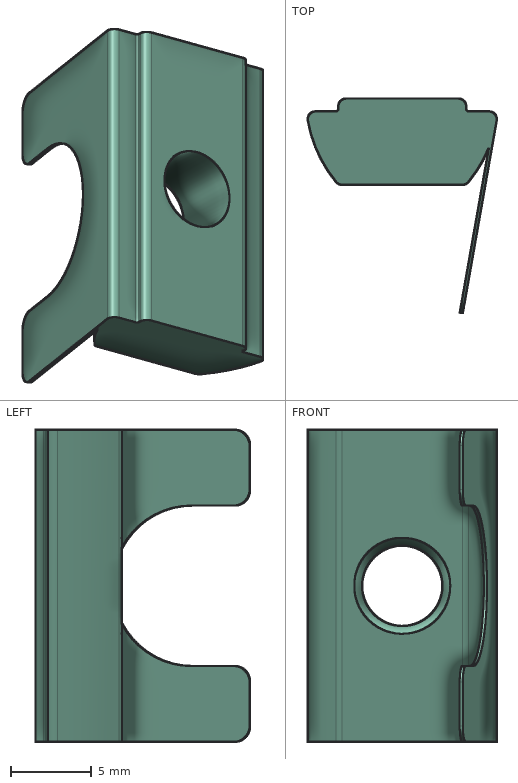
import math

import cadquery as cq

length = 19.5
body_width = 11.82
body_depth = 5.4
overall_depth = 13.41

rib_width = 8.0
rib_height = 0.8
rib_edge_radius = 0.5
rib_root_radius = 0.15

shoulder_radius = 0.5
flank_radius = 8.3
base_edge_radius = 0.5

hole_diameter = 5.0
countersink_diameter = 6.0
countersink_depth = (countersink_diameter - hole_diameter) / 2

spring_tilt = math.radians(10)
spring_thickness = 0.2
spring_corner_radius = 1.0
slot_radius = 5.0
slot_centre_from_tip = 3.7

sin_tilt = math.sin(spring_tilt)
cos_tilt = math.cos(spring_tilt)
shoulder_centre = (body_width / 2 - shoulder_radius, -rib_height - shoulder_radius)
flank_centre = (
    shoulder_centre[0] - (flank_radius - shoulder_radius) * cos_tilt,
    shoulder_centre[1] + (flank_radius - shoulder_radius) * sin_tilt,
)
base_edge_centre_y = -body_depth + base_edge_radius
flank_end_angle = math.asin((flank_centre[1] - base_edge_centre_y) / (flank_radius - base_edge_radius))
base_edge_centre = (
    flank_centre[0] + (flank_radius - base_edge_radius) * math.cos(flank_end_angle),
    base_edge_centre_y,
)


def point_on_arc(centre, radius, angle_below_x):
    """Point on a circle, with the angle measured from +X towards -Y."""
    return (
        centre[0] + radius * math.cos(angle_below_x),
        centre[1] - radius * math.sin(angle_below_x),
    )


spring_root = point_on_arc(shoulder_centre, shoulder_radius, spring_tilt)
spring_length = (overall_depth + spring_root[1]) / cos_tilt


def make_body():
    """Nut body: half a section extruded along Z and mirrored about X = 0."""
    quarter_turn = math.pi / 2
    half_rib = rib_width / 2
    half_section = (
        cq.Workplane("XY")
        .moveTo(0, 0)
        .lineTo(half_rib, 0)
        .lineTo(half_rib, -rib_height)
        .lineTo(shoulder_centre[0], -rib_height)
        .threePointArc(
            point_on_arc(shoulder_centre, shoulder_radius, (spring_tilt - quarter_turn) / 2),
            spring_root,
        )
        .threePointArc(
            point_on_arc(flank_centre, flank_radius, (spring_tilt + flank_end_angle) / 2),
            point_on_arc(flank_centre, flank_radius, flank_end_angle),
        )
        .threePointArc(
            point_on_arc(base_edge_centre, base_edge_radius, (flank_end_angle + quarter_turn) / 2),
            (base_edge_centre[0], -body_depth),
        )
        .lineTo(0, -body_depth)
        .close()
        .extrude(length / 2, both=True)
    )
    half_section = round_rib_edge(half_section, 0, rib_edge_radius)
    half_section = round_rib_edge(half_section, -rib_height, rib_root_radius)
    return half_section.union(half_section.mirror("YZ")).clean()


def round_rib_edge(body, edge_y, radius):
    """Fillet the lengthwise edge of the rib side at the given Y."""
    edge = cq.selectors.NearestToPointSelector((rib_width / 2, edge_y, 0))
    return body.edges("|Z").edges(edge).fillet(radius)


def make_hole():
    """Through hole along Y with a countersink on the base face."""
    base_plane = cq.Plane(origin=(0, -body_depth, 0), xDir=(1, 0, 0), normal=(0, 1, 0))
    bore = cq.Workplane(base_plane).circle(hole_diameter / 2).extrude(body_depth)
    countersink = (
        cq.Workplane(base_plane)
        .circle(countersink_diameter / 2)
        .workplane(offset=countersink_depth)
        .circle(hole_diameter / 2)
        .loft(ruled=True)
    )
    return bore.union(countersink)


def make_spring():
    """Tilted sheet with two rounded legs either side of a round-ended slot."""
    sheet_plane = cq.Plane(
        origin=(spring_root[0], spring_root[1], 0),
        xDir=(-sin_tilt, -cos_tilt, 0),
        normal=(cos_tilt, -sin_tilt, 0),
    )
    slot_centre = spring_length - slot_centre_from_tip
    sheet = (
        cq.Workplane(sheet_plane)
        .moveTo(0, -length / 2)
        .lineTo(spring_length, -length / 2)
        .lineTo(spring_length, -slot_radius)
        .lineTo(slot_centre, -slot_radius)
        .threePointArc((slot_centre - slot_radius, 0), (slot_centre, slot_radius))
        .lineTo(spring_length, slot_radius)
        .lineTo(spring_length, length / 2)
        .lineTo(0, length / 2)
        .close()
        .extrude(-spring_thickness)
    )
    tip_face = cq.selectors.DirectionMinMaxSelector(sheet_plane.xDir, True)
    tip_corners = cq.selectors.ParallelDirSelector(sheet_plane.zDir)
    return sheet.faces(tip_face).edges(tip_corners).fillet(spring_corner_radius)


result = make_body().union(make_spring()).cut(make_hole())